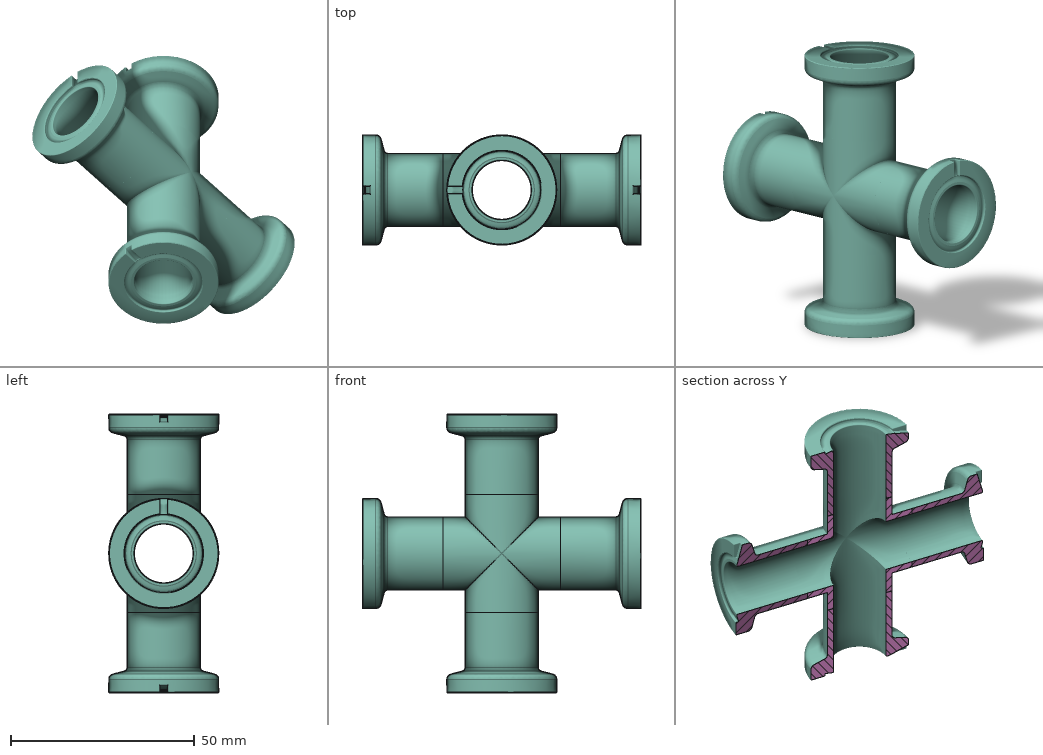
import cadquery as cq
import math

span = 76.0
arm_length = span / 2
center_reach = 16.0

tube_diameter = 20.0
bore_diameter = 16.0
tube_radius = tube_diameter / 2
bore_radius = bore_diameter / 2

flange_radius = 30.0 / 2
flange_thickness = 4.8
slope_angle = math.radians(15)
slope = math.tan(slope_angle)
back_round = 1.5
neck_round = 1.0
edge_round = 0.2

lip_depth = 0.4
lip_radius = 8.9
seat_radius = 10.65
seat_round = 0.2

slot_width = 2.0

face = arm_length
rim_back = face - flange_thickness
neck = rim_back - slope * (flange_radius - tube_radius)


def seat_height(radius):
    """Height of the sloping seat surface at a given radius."""
    return face - lip_depth - slope * (radius - lip_radius)


def round_circle(body, radius, height, round_radius):
    """Round the circular edge of the given radius and height about the Z axis."""
    tolerance = 0.01
    edges = [
        edge for edge in body.edges("%CIRCLE").vals()
        if abs(edge.radius() - radius) < tolerance and abs(edge.Center().z - height) < tolerance
    ]
    return body.newObject(edges).fillet(round_radius)


def make_drain_slot():
    """Cutter that carries the sloping seat out through the rim, towards -X.

    It starts at the seat wall, so the rounded corner of the seat stays whole.
    """
    outside = flange_radius + 0.75
    above = face + 0.75
    ring = (
        cq.Workplane("XZ")
        .polyline([
            (seat_radius, seat_height(seat_radius)),
            (outside, seat_height(outside)),
            (outside, above),
            (seat_radius, above),
        ])
        .close()
        .revolve(360, (0, 0), (0, 1))
    )
    strip = cq.Workplane("XY").box(outside, slot_width, above, centered=(False, True, False))
    return ring.intersect(strip.translate((-outside, 0, 0)))


def round_slotted_face(body):
    """Round the whole outline of the flange face and the slot's mouth in the rim."""
    outline = body.faces(">Z").edges().vals()
    mouth_zone = cq.selectors.BoxSelector(
        (-flange_radius - 0.75, -slot_width, seat_height(flange_radius) - 0.1),
        (-flange_radius + 0.1, slot_width, face - 0.1),
    )
    mouth = body.edges(mouth_zone).vals()
    return body.newObject(outline + mouth).fillet(edge_round)


def make_ferrule():
    """Flanged tube end pointing along +Z, with its drain slot towards -X."""
    body = (
        cq.Workplane("XZ")
        .polyline([
            (bore_radius, center_reach),
            (tube_radius, center_reach),
            (tube_radius, neck),
            (flange_radius, rim_back),
            (flange_radius, face),
            (seat_radius, face),
            (seat_radius, seat_height(seat_radius)),
            (lip_radius, face - lip_depth),
            (bore_radius, face - lip_depth),
        ])
        .close()
        .revolve(360, (0, 0), (0, 1))
    )
    body = round_circle(body, tube_radius, neck, neck_round)
    body = round_circle(body, flange_radius, rim_back, back_round)
    body = round_circle(body, seat_radius, seat_height(seat_radius), seat_round)
    body = round_circle(body, bore_radius, face - lip_depth, edge_round)
    return round_slotted_face(body.cut(make_drain_slot()))


def make_crossed_rods(radius):
    """Two equal rods crossing at the origin, one along X and one along Z."""
    length = 2 * center_reach
    upright = cq.Workplane("XY").circle(radius).extrude(length / 2, both=True)
    level = cq.Workplane("YZ").circle(radius).extrude(length / 2, both=True)
    return upright.union(level)


cross = make_crossed_rods(tube_radius).cut(make_crossed_rods(bore_radius))

ferrule = make_ferrule()
ferrules = []
for tilt, spin in [(0, 0), (90, 0), (180, 180), (270, 180)]:
    placed = ferrule.rotate((0, 0, 0), (0, 0, 1), spin).rotate((0, 0, 0), (0, 1, 0), tilt)
    ferrules.append(placed.solids().val())

result = cq.Compound.makeCompound([cross.solids().val(), *ferrules])